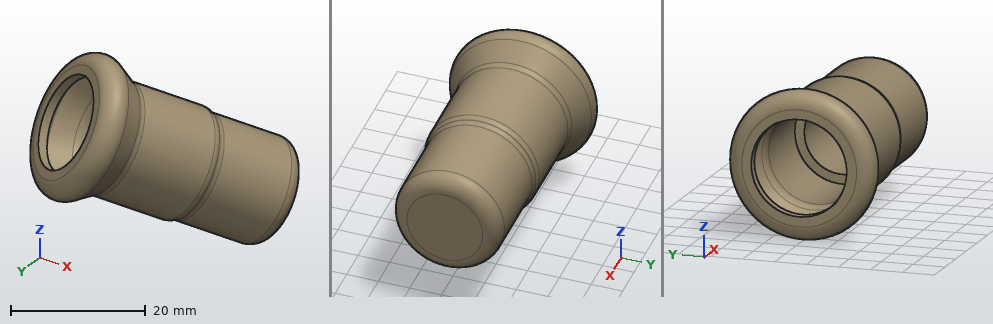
import cadquery as cq
import math

length = 37.0
body_radius = 18.0 / 2
spigot_radius = 17.0 / 2
overall_radius = 23.0 / 2
wall = 1.5
bead_radius = overall_radius - body_radius
cone_angle = math.radians(30)
blend_radius = 2.0
shoulder_start = 20.57
shoulder_angle = math.radians(28)
end_round = 2.5
small_bore_radius = 6.0
floor_thickness = wall

bead_x = bead_radius
bore_radius = body_radius - wall
cone_run = (
    bead_radius * math.cos(cone_angle) - blend_radius * (1 - math.cos(cone_angle))
) / math.tan(cone_angle)
blend_end_x = bead_x + (bead_radius + blend_radius) * math.sin(cone_angle) + cone_run
neck_center = (blend_end_x, body_radius + blend_radius)

shoulder_drop = body_radius - spigot_radius
arc_run = blend_radius * math.sin(shoulder_angle)
arc_drop = blend_radius * (1 - math.cos(shoulder_angle))
slope_run = (shoulder_drop - 2 * arc_drop) / math.tan(shoulder_angle)
shoulder_end = shoulder_start + 2 * arc_run + slope_run


def on_circle(center, radius, angle):
    """Point at an angle from the outward radial direction, positive toward +X."""
    return (center[0] + radius * math.sin(angle), center[1] + radius * math.cos(angle))


def arc(profile, center, radius, start, end):
    """Continue a profile along an arc that begins at its current point."""
    middle = on_circle(center, radius, (start + end) / 2)
    return profile.threePointArc(middle, on_circle(center, radius, end))


def flared_socket(profile, tube_radius, neck_radius):
    """Rim arc, cone and neck blend, ending on the straight cylinder."""
    bead_center = (bead_x, body_radius)
    profile = arc(profile, bead_center, tube_radius, -math.pi / 2, cone_angle)
    profile = profile.lineTo(*on_circle(neck_center, neck_radius, math.pi + cone_angle))
    return arc(profile, neck_center, neck_radius, math.pi + cone_angle, math.pi)


def revolve(profile):
    return profile.close().revolve(360, (0, 0, 0), (1, 0, 0))


def outer_body():
    profile = cq.Workplane("XY").lineTo(0, body_radius)
    profile = flared_socket(profile, bead_radius, blend_radius)
    profile = profile.lineTo(shoulder_start, body_radius)
    upper_center = (shoulder_start, body_radius - blend_radius)
    lower_center = (shoulder_end, spigot_radius + blend_radius)
    profile = arc(profile, upper_center, blend_radius, 0, shoulder_angle)
    profile = profile.lineTo(*on_circle(lower_center, blend_radius, math.pi + shoulder_angle))
    profile = arc(profile, lower_center, blend_radius, math.pi + shoulder_angle, math.pi)
    profile = profile.lineTo(length - end_round, spigot_radius)
    end_center = (length - end_round, spigot_radius - end_round)
    profile = arc(profile, end_center, end_round, 0, math.pi / 2)
    return revolve(profile.lineTo(length, 0))


def inner_cavity():
    """Lip, seal groove one wall inside the rim, main bore and smaller blind bore."""
    groove_radius = bead_radius - wall
    groove_x = bead_x - groove_radius
    floor_x = length - floor_thickness
    profile = cq.Workplane("XY").lineTo(0, bore_radius).lineTo(groove_x, bore_radius)
    profile = profile.lineTo(groove_x, body_radius)
    profile = flared_socket(profile, groove_radius, blend_radius + wall)
    profile = profile.lineTo(shoulder_start, bore_radius)
    profile = profile.lineTo(shoulder_start, small_bore_radius)
    profile = profile.lineTo(floor_x, small_bore_radius).lineTo(floor_x, 0)
    return revolve(profile)


result = outer_body().cut(inner_cavity())